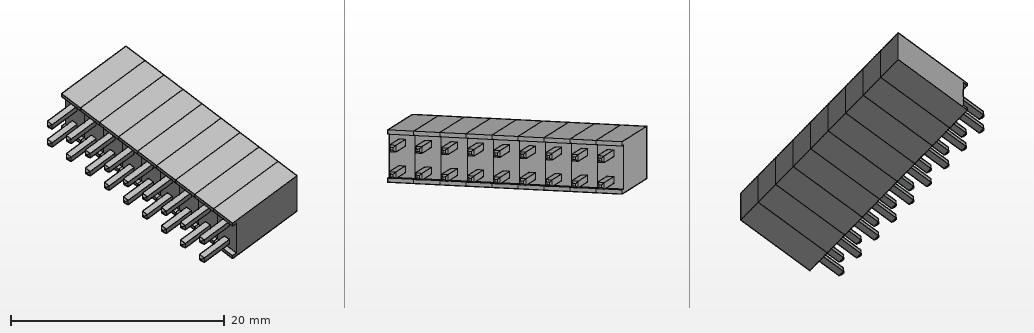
import cadquery as cq

total_length = 22.85
total_depth = 11.5
housing_height = 5.0

module_count = 9
rows_per_module = 2
pitch = total_length / module_count

housing_depth = 8.5
lip_depth = 0.5
lip_height = 0.41

pin_width = 0.65
tip_chamfer = 0.2

lip_front_y = -housing_depth
recess_face_y = lip_front_y + lip_depth
pin_length = total_depth - housing_depth + lip_depth


def make_housing_block():
    """Block one pitch wide, with a front recess that leaves a lip along the top and the bottom."""
    block = cq.Workplane("XY").box(pitch, housing_depth, housing_height).translate((0, -housing_depth / 2, 0))
    recess = (
        cq.Workplane("XY")
        .box(pitch, lip_depth, housing_height - 2 * lip_height)
        .translate((0, recess_face_y - lip_depth / 2, 0))
    )
    return block.cut(recess)


def make_pin(row_z):
    """Square pin standing out of the recessed face, its tip chamfered on all four sides."""
    return (
        cq.Workplane("XY")
        .box(pin_width, pin_length, pin_width)
        .faces("<Y")
        .chamfer(tip_chamfer)
        .translate((0, recess_face_y - pin_length / 2, row_z))
    )


def make_module(center_x):
    """One connector module: a housing block with its column of pins, as a single solid."""
    module = make_housing_block()
    for row in range(rows_per_module):
        row_z = (row - (rows_per_module - 1) / 2) * pitch
        module = module.union(make_pin(row_z))
    return module.translate((center_x, 0, 0))


modules = []
for index in range(module_count):
    module_x = (index - (module_count - 1) / 2) * pitch
    modules.append(make_module(module_x).val())

result = cq.Compound.makeCompound([solid for module in modules for solid in module.Solids()])